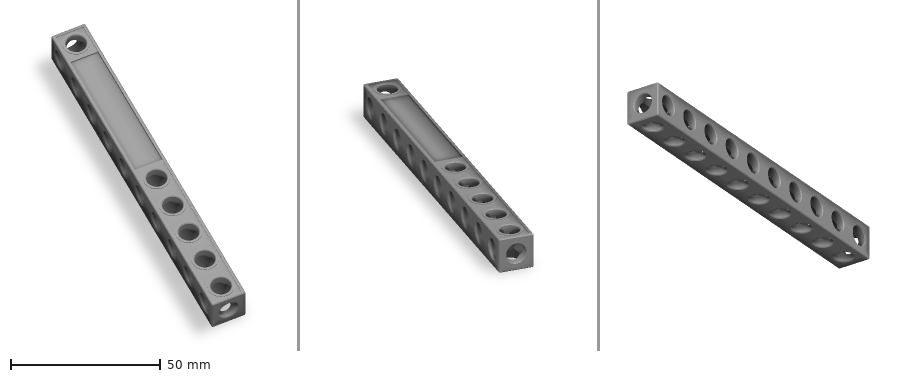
import cadquery as cq

CELL = 12.5
CELL_COUNT = 10
LENGTH = CELL * CELL_COUNT
HOLE_DIAMETER = 7.0

EDGE_CHAMFER = 0.3

RIM_WIDTH = 1.1
RECESS_DEPTH = 0.2
BAY_DEPTH = 0.8
BAY_CELLS = range(1, 5)

RING_DIAMETER = 9.2


def cell_center(index):
    """X position of the middle of a cell, with the beam centred on the origin."""
    return (index + 0.5) * CELL - LENGTH / 2


def hole_cutter(length):
    """Through-hole tool along Z, flared at both ends so that it also chamfers the hole's rims."""
    radius = HOLE_DIAMETER / 2
    rim_radius = radius + EDGE_CHAMFER
    half_length = length / 2
    waist = half_length - EDGE_CHAMFER
    profile = [
        (0, -half_length),
        (rim_radius, -half_length),
        (radius, -waist),
        (radius, waist),
        (rim_radius, half_length),
        (0, half_length),
    ]
    return cq.Workplane("XZ").polyline(profile).close().revolve(360, (0, 0), (0, 1))


def top_pocket(x_start, x_end, depth):
    """Pocket sunk into the top face between two X positions, leaving the side rims."""
    floor = cq.Workplane("XY", origin=(x_start, 0, CELL / 2 - depth))
    width = CELL - 2 * RIM_WIDTH
    return floor.box(x_end - x_start, width, depth, centered=(False, True, False))


def hole_rings():
    """Discs rising to the top face around the vertical through-holes, before the holes are cut."""
    discs = cq.Workplane("XY", origin=(0, 0, CELL / 2 - RECESS_DEPTH))
    discs = discs.pushPoints([(x, 0) for x in open_cells])
    return discs.circle(RING_DIAMETER / 2).extrude(RECESS_DEPTH)


open_cells = [cell_center(i) for i in range(CELL_COUNT) if i not in BAY_CELLS]
bay_cells = [cell_center(i) for i in BAY_CELLS]
recess_end = LENGTH / 2 - RIM_WIDTH
bay_start = BAY_CELLS.start * CELL - LENGTH / 2
bay_end = BAY_CELLS.stop * CELL - LENGTH / 2

result = cq.Workplane("XY").box(LENGTH, CELL, CELL).edges().chamfer(EDGE_CHAMFER)

result = result.cut(top_pocket(-recess_end, recess_end, RECESS_DEPTH))
result = result.cut(top_pocket(bay_start, bay_end, BAY_DEPTH))
result = result.union(hole_rings())

vertical_hole = hole_cutter(CELL)
cross_hole = vertical_hole.rotate((0, 0, 0), (1, 0, 0), 90)
result = result.cut(hole_cutter(LENGTH).rotate((0, 0, 0), (0, 1, 0), 90))
for x in open_cells + bay_cells:
    result = result.cut(cross_hole.translate((x, 0, 0)))

blind_hole = vertical_hole.copyWorkplane(cq.Workplane("XY")).split(keepBottom=True)
for x in open_cells:
    result = result.cut(vertical_hole.translate((x, 0, 0)))
for x in bay_cells:
    result = result.cut(blind_hole.translate((x, 0, 0)))